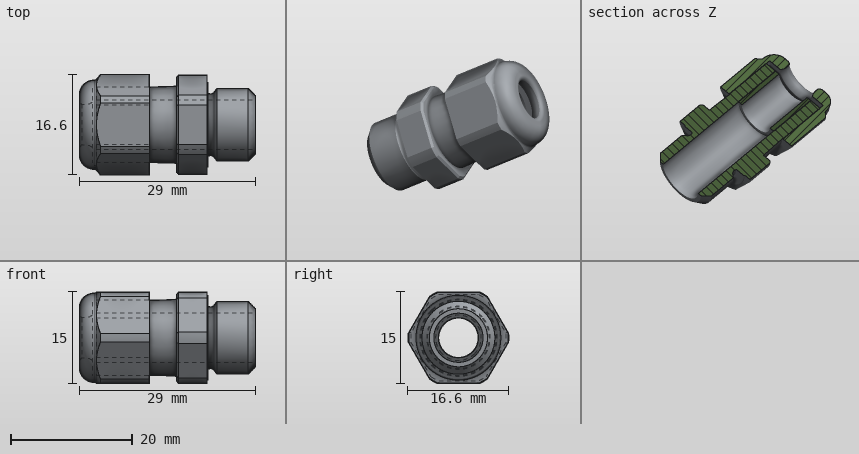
import cadquery as cq
import math


LENGTH = 29.0
ACROSS_FLATS = 15.0

NUT_CORNER_DIA = 16.6
NUT_END = 11.5
DOME_DIA = 14.7
DOME_FILLET = 2.46
NUT_CONE_ANGLE = math.radians(50)
NUT_NECK_FILLET = 0.52
NUT_BORE_DIA = 6.6
NUT_MOUTH_DIA = 8.1
NUT_MOUTH_FILLET = 0.8
NUT_FLARE_START = 1.0
NUT_FLARE_DIA = 7.48
CHAMBER_START = 2.15

BODY_START = 2.85
NECK_DIA = 12.4
NECK_END_DIA = 12.7
HEX_START = 16.0
HEX_END = 21.02
HEX_CORNER_DIA = 16.35
HEX_CHAMFER = 0.35
COLLAR_DIA = 13.98
COLLAR_LENGTH = 0.17
GROOVE_BOTTOM_DIA = 10.15
GROOVE_RADIUS = 0.72
GROOVE_CENTRE_X = 21.6
GROOVE_END_OFFSET = 0.58
THREAD_START = 22.68
THREAD_DIA = 12.0
THREAD_CHAMFER = 1.22
BODY_BORE_DIA = 8.1

SEAL_BORE_DIA = 6.5
SEAL_END = NUT_END


def revolve_about_x(profile):
    """Turn a closed (x, radius) profile around the X axis."""
    return profile.close().revolve(360, (0, 0, 0), (1, 0, 0))


def cylinder(start, end, diameter):
    return cq.Workplane("YZ", origin=(start, 0, 0)).circle(diameter / 2).extrude(end - start)


def hexagon(start, end):
    """Hexagonal bar with corners on +Y and -Y and flats facing +Z and -Z."""
    across_corners = ACROSS_FLATS / math.cos(math.pi / 6)
    return cq.Workplane("YZ", origin=(start, 0, 0)).polygon(6, across_corners).extrude(end - start)


def make_nut():
    dome_radius = DOME_DIA / 2
    corner_radius = NUT_CORNER_DIA / 2
    dome_flat_radius = dome_radius - DOME_FILLET
    dome_mid = DOME_FILLET * math.sqrt(0.5)

    half_angle = NUT_CONE_ANGLE / 2
    blend_mid = (DOME_FILLET + NUT_NECK_FILLET * math.sin(half_angle),
                 dome_radius + NUT_NECK_FILLET * (1 - math.cos(half_angle)))
    blend_end = (DOME_FILLET + NUT_NECK_FILLET * math.sin(NUT_CONE_ANGLE),
                 dome_radius + NUT_NECK_FILLET * (1 - math.cos(NUT_CONE_ANGLE)))
    cone_end_x = blend_end[0] + (corner_radius - blend_end[1]) / math.tan(NUT_CONE_ANGLE)

    envelope = revolve_about_x(
        cq.Workplane("XY")
        .moveTo(0, 0)
        .lineTo(0, dome_flat_radius)
        .threePointArc((DOME_FILLET - dome_mid, dome_flat_radius + dome_mid), (DOME_FILLET, dome_radius))
        .threePointArc(blend_mid, blend_end)
        .lineTo(cone_end_x, corner_radius)
        .lineTo(NUT_END, corner_radius)
        .lineTo(NUT_END, 0)
    )

    bore_radius = NUT_BORE_DIA / 2
    mouth_radius = NUT_MOUTH_DIA / 2
    mouth_angle = math.asin((mouth_radius - bore_radius) / NUT_MOUTH_FILLET)

    def mouth_point(angle):
        return (NUT_MOUTH_FILLET * (1 - math.cos(angle)), mouth_radius - NUT_MOUTH_FILLET * math.sin(angle))

    bore = revolve_about_x(
        cq.Workplane("XY")
        .moveTo(0, 0)
        .lineTo(0, mouth_radius)
        .threePointArc(mouth_point(mouth_angle / 2), mouth_point(mouth_angle))
        .lineTo(NUT_FLARE_START, bore_radius)
        .tangentArcPoint((CHAMBER_START, NUT_FLARE_DIA / 2), relative=False)
        .lineTo(CHAMBER_START, 0)
    )
    chamber = cylinder(CHAMBER_START, NUT_END, NECK_DIA)
    return hexagon(0, NUT_END).intersect(envelope).cut(bore).cut(chamber)


def make_body():
    wrench_hex = hexagon(HEX_START, HEX_END).intersect(cylinder(HEX_START, HEX_END, HEX_CORNER_DIA))
    wrench_hex = wrench_hex.faces("<X").chamfer(HEX_CHAMFER)

    neck = revolve_about_x(
        cq.Workplane("XY")
        .moveTo(BODY_START, 0)
        .lineTo(BODY_START, NECK_DIA / 2)
        .lineTo(NUT_END, NECK_DIA / 2)
        .lineTo(HEX_START, NECK_END_DIA / 2)
        .lineTo(HEX_START, 0)
    )

    collar_end = HEX_END + COLLAR_LENGTH
    groove_bottom = GROOVE_BOTTOM_DIA / 2

    def groove_point(offset):
        rise = GROOVE_RADIUS - math.sqrt(GROOVE_RADIUS ** 2 - offset ** 2)
        return (GROOVE_CENTRE_X + offset, groove_bottom + rise)

    shank = revolve_about_x(
        cq.Workplane("XY")
        .moveTo(HEX_START, 0)
        .lineTo(HEX_START, groove_bottom)
        .lineTo(HEX_END, groove_bottom)
        .lineTo(HEX_END, COLLAR_DIA / 2)
        .radiusArc((collar_end, COLLAR_DIA / 2 - COLLAR_LENGTH), COLLAR_LENGTH)
        .lineTo(*groove_point(collar_end - GROOVE_CENTRE_X))
        .threePointArc(groove_point(0), groove_point(GROOVE_END_OFFSET))
        .lineTo(THREAD_START, THREAD_DIA / 2)
        .lineTo(LENGTH - THREAD_CHAMFER, THREAD_DIA / 2)
        .lineTo(LENGTH, THREAD_DIA / 2 - THREAD_CHAMFER)
        .lineTo(LENGTH, 0)
    )
    bore = cylinder(BODY_START, LENGTH, BODY_BORE_DIA)
    return neck.union(wrench_hex).union(shank).cut(bore)


def make_seal():
    sleeve = cylinder(BODY_START, SEAL_END, BODY_BORE_DIA)
    return sleeve.cut(cylinder(BODY_START, SEAL_END, SEAL_BORE_DIA))


nut = make_nut()
body = make_body()
seal = make_seal()

result = cq.Compound.makeCompound([nut.solids().val(), body.solids().val(), seal.solids().val()])